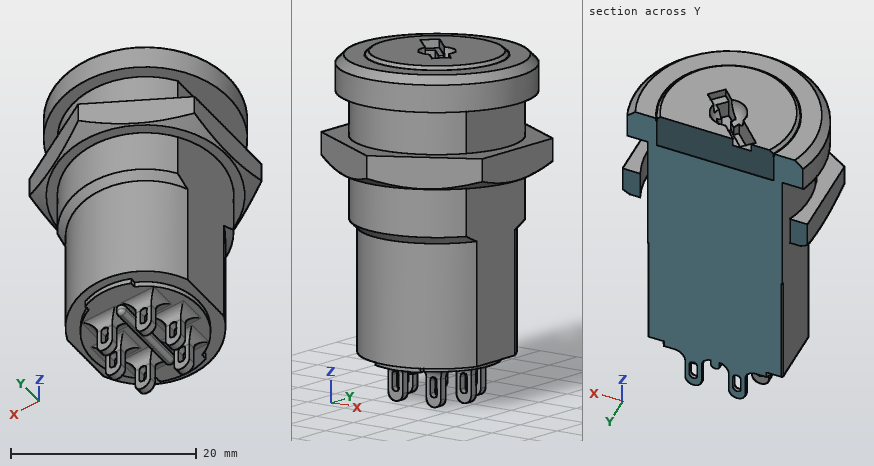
import cadquery as cq
import math


TOP_Z = 38.4
FLANGE_TOP_Z = 38.0
FLANGE_BOTTOM_Z = 34.05
NUT_TOP_Z = 29.05
NUT_BOTTOM_Z = 25.45
STEP_Z = 19.9
BARREL_BOTTOM_Z = 5.15
BASE_BOTTOM_Z = 4.45

FLANGE_DIAMETER = 22.0
FLANGE_CHAMFER = 0.92
UPPER_RADIUS = 9.52
LOWER_RADIUS = 8.65
ACROSS_BARREL_FLATS = 15.9

BASE_RADIUS = 7.03
KEY_RADIUS = 7.65
KEY_WIDTH = 6.05

TERMINAL_WIDTH = 2.0
TERMINAL_THICKNESS = 0.9
TERMINAL_FLARE = 1.2
TERMINAL_PITCH = 3.57
OUTER_ROW_X = 2.57
MIDDLE_ROW_X = 3.95
EYE_WIDTH = 0.9
EYE_LENGTH = 2.25
EYE_Z = 2.23

BAR_LENGTH = 10.0
BAR_WIDTH = 1.08
BAR_BOTTOM_Z = 3.4
BAR_FILLET = 0.5

NUT_ACROSS_CORNERS = 25.2
NUT_FACE_RADIUS = 10.7
NUT_CHAMFER_ANGLE = 30.0

CORE_RADIUS = 7.75
LIP_RADIUS = 7.85
LIP_DEPTH = 0.4
DIMPLE_RADIUS = 2.05

SLOT_ANGLE = -45.0
SLOT_U = (-5.53, 3.5)
SLOT_HALF_WIDTH = 1.05
SLOT_DEPTH = 0.95
KEYWAY_U = (-4.55, 2.55)
KEYWAY_V = 0.42
KEYWAY_DEPTH = 3.07
KEYWAY_BULGE_V = 1.0
KEYWAY_BULGE_HALF = 1.0
KEYWAY_RIB_V = -0.42
KEYWAY_RIB_HALF = 0.45


def cylinder(radius, bottom, top):
    """Upright cylinder on the Z axis between two heights."""
    return cq.Workplane("XY").workplane(offset=bottom).circle(radius).extrude(top - bottom)


def barrel():
    """Stepped round barrel with a 45 degree shoulder and two flats facing X."""
    shoulder = UPPER_RADIUS - LOWER_RADIUS
    profile = [
        (0, BARREL_BOTTOM_Z),
        (LOWER_RADIUS, BARREL_BOTTOM_Z),
        (LOWER_RADIUS, STEP_Z - shoulder),
        (UPPER_RADIUS, STEP_Z),
        (UPPER_RADIUS, FLANGE_BOTTOM_Z),
        (0, FLANGE_BOTTOM_Z),
    ]
    turned = cq.Workplane("XZ").polyline(profile).close().revolve(360, (0, 0, 0), (0, 1, 0))
    between_flats = cq.Workplane("XY").box(
        ACROSS_BARREL_FLATS, 2 * UPPER_RADIUS, TOP_Z, centered=(True, True, False)
    )
    return turned.intersect(between_flats)


def flange():
    """Chamfered flange, bored for the core with a wider lip at the mouth."""
    ring = cylinder(FLANGE_DIAMETER / 2, FLANGE_BOTTOM_Z, FLANGE_TOP_Z)
    ring = ring.faces(">Z").chamfer(FLANGE_CHAMFER)
    bore = cylinder(CORE_RADIUS, FLANGE_BOTTOM_Z, FLANGE_TOP_Z)
    lip = cylinder(LIP_RADIUS, FLANGE_TOP_Z - LIP_DEPTH, FLANGE_TOP_Z)
    return ring.cut(bore).cut(lip)


def base():
    """Round base plate with a key on the -Y and +Y sides."""
    plate = cylinder(BASE_RADIUS, BASE_BOTTOM_Z, BARREL_BOTTOM_Z)
    key_limits = cq.Workplane("XY").box(KEY_WIDTH, 2 * KEY_RADIUS, TOP_Z, centered=(True, True, False))
    keys = cylinder(KEY_RADIUS, BASE_BOTTOM_Z, BARREL_BOTTOM_Z).intersect(key_limits)
    return plate.union(keys)


def terminal():
    """Flat terminal on the Z axis, flat sides facing Y, with a round tip, an eye and a flared root."""
    tip_radius = TERMINAL_WIDTH / 2
    half_thickness = TERMINAL_THICKNESS / 2
    blade = (
        cq.Workplane("XZ", origin=(0, half_thickness, 0))
        .moveTo(-tip_radius, BARREL_BOTTOM_Z)
        .lineTo(-tip_radius, tip_radius)
        .threePointArc((0, 0), (tip_radius, tip_radius))
        .lineTo(tip_radius, BARREL_BOTTOM_Z)
        .close()
        .extrude(TERMINAL_THICKNESS)
    )
    foot_width = 2 * (TERMINAL_WIDTH + 2 * TERMINAL_FLARE)
    foot_height = BARREL_BOTTOM_Z - BASE_BOTTOM_Z
    foot = (
        cq.Workplane("XY")
        .workplane(offset=BASE_BOTTOM_Z)
        .rect(foot_width, foot_width)
        .extrude(foot_height)
    )
    root = cq.selectors.BoxSelector(
        (-TERMINAL_WIDTH, -TERMINAL_THICKNESS, BASE_BOTTOM_Z - foot_height / 2),
        (TERMINAL_WIDTH, TERMINAL_THICKNESS, BASE_BOTTOM_Z + foot_height / 2),
    )
    flared = blade.union(foot).edges(root).fillet(TERMINAL_FLARE).cut(foot)
    eye = (
        cq.Workplane("XZ", origin=(0, half_thickness, EYE_Z))
        .slot2D(EYE_LENGTH, EYE_WIDTH, 90)
        .extrude(TERMINAL_THICKNESS)
    )
    return flared.cut(eye)


def base_with_terminals():
    """Base plate carrying two mirrored groups of three terminals."""
    body = base()
    blank = terminal()
    for side in (-1, 1):
        middle = (side * MIDDLE_ROW_X, 0)
        front = (side * OUTER_ROW_X, -TERMINAL_PITCH)
        back = (side * OUTER_ROW_X, TERMINAL_PITCH)
        for x, y in (middle, front, back):
            body = body.union(blank.translate((x, y, 0)))
    return body


def bar():
    """Bar with round ends and a rounded underside, along Y below the base."""
    blank = cq.Workplane("XY").workplane(offset=BAR_BOTTOM_Z).slot2D(BAR_LENGTH, BAR_WIDTH, 90)
    return blank.extrude(BASE_BOTTOM_Z - BAR_BOTTOM_Z).faces("<Z").edges().fillet(BAR_FILLET)


def make_housing():
    return barrel().union(flange()).union(base_with_terminals()).union(bar())


def make_nut():
    """Hexagon with corners on Y, chamfered below, with a round hole that clears the barrel flats."""
    corner_radius = NUT_ACROSS_CORNERS / 2
    chamfer_height = (corner_radius - NUT_FACE_RADIUS) * math.tan(math.radians(NUT_CHAMFER_ANGLE))
    hexagon = (
        cq.Workplane("XY")
        .workplane(offset=NUT_BOTTOM_Z)
        .polygon(6, NUT_ACROSS_CORNERS)
        .extrude(NUT_TOP_Z - NUT_BOTTOM_Z)
        .rotate((0, 0, 0), (0, 0, 1), 90)
    )
    profile = [
        (0, NUT_BOTTOM_Z),
        (NUT_FACE_RADIUS, NUT_BOTTOM_Z),
        (corner_radius, NUT_BOTTOM_Z + chamfer_height),
        (corner_radius, NUT_TOP_Z),
        (0, NUT_TOP_Z),
    ]
    cone = cq.Workplane("XZ").polyline(profile).close().revolve(360, (0, 0, 0), (0, 1, 0))
    return hexagon.intersect(cone).cut(cylinder(UPPER_RADIUS, NUT_BOTTOM_Z, NUT_TOP_Z))


def slot_plane():
    """Work plane on the core face, turned so that its first axis runs along the slot."""
    return cq.Workplane("XY", origin=(0, 0, TOP_Z)).transformed(rotate=(0, 0, SLOT_ANGLE))


def slot_mouth():
    """Shallow rectangular mouth of the key slot."""
    u_min, u_max = SLOT_U
    mouth = slot_plane().center((u_min + u_max) / 2, 0).rect(u_max - u_min, 2 * SLOT_HALF_WIDTH)
    return mouth.extrude(-SLOT_DEPTH)


def keyway():
    """Deep key profile: a rectangle with a bulge on its +v side and a rib standing in from -v."""
    u_min, u_max = KEYWAY_U
    profile = [
        (u_min, -SLOT_HALF_WIDTH),
        (-KEYWAY_RIB_HALF, -SLOT_HALF_WIDTH),
        (-KEYWAY_RIB_HALF, KEYWAY_RIB_V),
        (KEYWAY_RIB_HALF, KEYWAY_RIB_V),
        (KEYWAY_RIB_HALF, -SLOT_HALF_WIDTH),
        (u_max, -SLOT_HALF_WIDTH),
        (u_max, KEYWAY_V),
        (KEYWAY_BULGE_HALF, KEYWAY_V),
        (KEYWAY_BULGE_HALF, KEYWAY_BULGE_V),
        (-KEYWAY_BULGE_HALF, KEYWAY_BULGE_V),
        (-KEYWAY_BULGE_HALF, KEYWAY_V),
        (u_min, KEYWAY_V),
    ]
    return slot_plane().polyline(profile).close().extrude(-KEYWAY_DEPTH)


def make_core():
    """Core filling the flange bore, chamfered above the flange, with a round dimple and the key slot."""
    core = cylinder(CORE_RADIUS, FLANGE_BOTTOM_Z, TOP_Z).faces(">Z").chamfer(TOP_Z - FLANGE_TOP_Z)
    dimple = cq.Workplane("XY", origin=(0, 0, TOP_Z)).sphere(DIMPLE_RADIUS)
    return core.cut(dimple).cut(slot_mouth()).cut(keyway())


housing = make_housing()
nut = make_nut()
core = make_core()

result = cq.Compound.makeCompound([housing.solids().val(), nut.solids().val(), core.solids().val()])